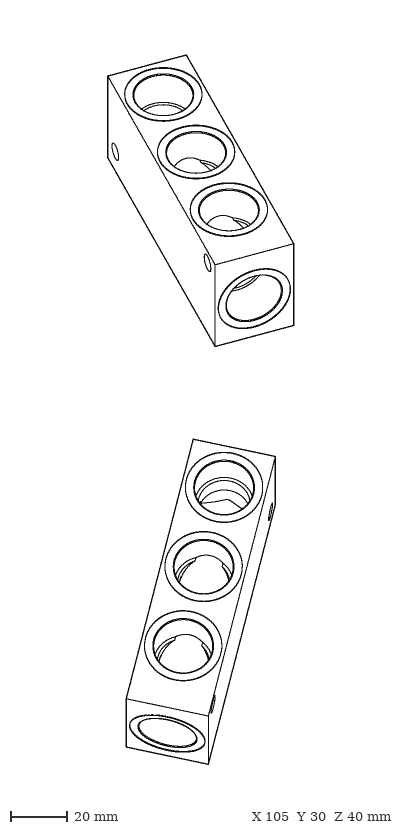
import cadquery as cq
import math

length = 105
width = 30.0
height = 40.0
middle_y = width / 2

port_positions = [16.0, 48.0, 80.0]
spotface_diameter = 27.5
spotface_depth = 0.3
port_diameter = 21
top_port_depth = 14.0
end_port_depth = 16.9
mouth_chamfer = 0.3

drill_diameter = 18.6
drill_point_angle = 118
gallery_height = 18.2
gallery_end_x = 14.1

mounting_hole_diameter = 6.4
mounting_holes = [(7.5, 9.6), (97.5, 34.4)]


def port_cutter(port_depth, drill_depth):
    """Revolved cutter pointing down -Z from its mouth at the origin."""
    spotface_radius = spotface_diameter / 2
    port_radius = port_diameter / 2
    drill_radius = drill_diameter / 2
    point_length = drill_radius / math.tan(math.radians(drill_point_angle / 2))
    return (
        cq.Workplane("XZ")
        .moveTo(0, 0)
        .lineTo(spotface_radius, 0)
        .lineTo(spotface_radius, -spotface_depth)
        .lineTo(port_radius + mouth_chamfer, -spotface_depth)
        .lineTo(port_radius, -spotface_depth - mouth_chamfer)
        .lineTo(port_radius, -port_depth)
        .lineTo(drill_radius, -port_depth)
        .lineTo(drill_radius, -drill_depth)
        .lineTo(0, -drill_depth - point_length)
        .close()
        .revolve(360, (0, 0, 0), (0, 1, 0))
    )


block = cq.Workplane("XY").box(length, width, height, centered=False)

top_port = port_cutter(top_port_depth, height - gallery_height)
for x in port_positions:
    block = block.cut(top_port.translate((x, middle_y, height)))

end_port = port_cutter(end_port_depth, length - gallery_end_x).rotate((0, 0, 0), (0, 1, 0), 90)
block = block.cut(end_port.translate((length, middle_y, gallery_height)))

for x, z in mounting_holes:
    hole = cq.Workplane("XZ").center(x, z).circle(mounting_hole_diameter / 2).extrude(-width)
    block = block.cut(hole)

result = block